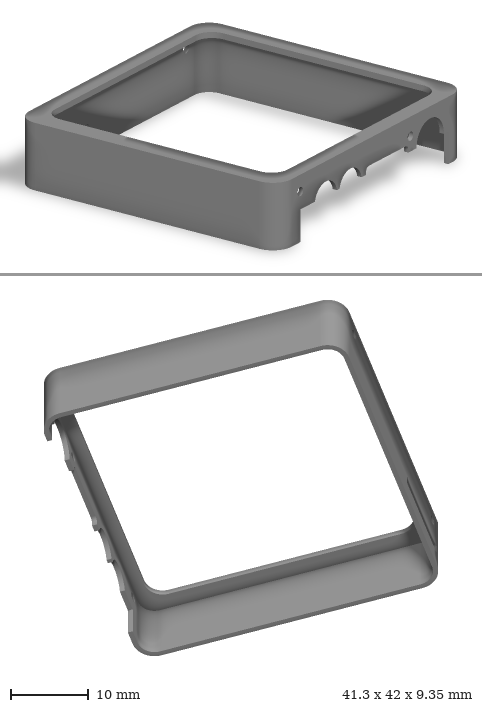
import cadquery as cq

LENGTH_X = 41.3
LENGTH_Y = 42.0
HEIGHT = 9.35
OUTER_RADIUS = 2.95
WALL = 0.67

LIP_THICKNESS = 0.85
OPENING_SIZE = 36.6
OPENING_RADIUS = 2.5
OPENING_OFFSET_Y = 0.15

PIN_DIAMETER = 1.25
PIN_SPACING = 32.17
PIN_Z = 7.0
PORT_PIN_Y = 8.55
PORT_PIN_Z = 6.65

SLOT_LENGTH = 12.2
SLOT_HEIGHT = 1.4
SLOT_CENTER_Y = -11.75
SLOT_CENTER_Z = 3.05
SLOT_CORNER_RADIUS = 0.35

NOTCH_MIN_Y = -16.1
NOTCH_MAX_Y = 17.1
NOTCH_HEIGHT = 4.55
LARGE_PORT_RADIUS = 3.05
LARGE_PORT_Y = 13.0
LARGE_PORT_Z = 4.6
SMALL_PORT_RADIUS = 2.5
SMALL_PORT_Z = 4.05
SMALL_PORT_YS = (-4.85, -10.35)
WIDE_PORT_MIN_Y = -1.35
WIDE_PORT_MAX_Y = 8.1
WIDE_PORT_TOP = 5.6
WIDE_PORT_RADIUS = 0.65

CUT_DEPTH = 4 * WALL
WALL_CENTER_X = (LENGTH_X - WALL) / 2


def rounded_block(size_x, size_y, height, radius):
    """Block standing on Z = 0 with rounded vertical edges."""
    block = cq.Workplane("XY").box(size_x, size_y, height, centered=(True, True, False))
    return block.edges("|Z").fillet(radius)


def side_box(side, min_y, max_y, min_z, max_z):
    """Box cutter through the X wall on the given side (-1 or 1)."""
    box = cq.Workplane("XY").box(CUT_DEPTH, max_y - min_y, max_z - min_z)
    return box.translate((side * WALL_CENTER_X, (min_y + max_y) / 2, (min_z + max_z) / 2))


def side_cylinder(side, y, z, radius):
    """Round cutter along X through the wall on the given side (-1 or 1)."""
    cylinder = cq.Workplane("YZ").circle(radius).extrude(CUT_DEPTH / 2, both=True)
    return cylinder.translate((side * WALL_CENTER_X, y, z))


def make_frame():
    """Thin-walled square ring with an open bottom and a lip at the top."""
    body = rounded_block(LENGTH_X, LENGTH_Y, HEIGHT, OUTER_RADIUS)
    cavity = rounded_block(
        LENGTH_X - 2 * WALL, LENGTH_Y - 2 * WALL, HEIGHT - LIP_THICKNESS, OUTER_RADIUS - WALL
    )
    opening = rounded_block(OPENING_SIZE, OPENING_SIZE, HEIGHT, OPENING_RADIUS)
    return body.cut(cavity).cut(opening.translate((0, OPENING_OFFSET_Y, 0)))


def cut_card_side(frame):
    """Two round holes and the card slot in the -X wall."""
    for y in (-PIN_SPACING / 2, PIN_SPACING / 2):
        frame = frame.cut(side_cylinder(-1, y, PIN_Z, PIN_DIAMETER / 2))
    slot = side_box(
        -1,
        SLOT_CENTER_Y - SLOT_LENGTH / 2,
        SLOT_CENTER_Y + SLOT_LENGTH / 2,
        SLOT_CENTER_Z - SLOT_HEIGHT / 2,
        SLOT_CENTER_Z + SLOT_HEIGHT / 2,
    )
    return frame.cut(slot.edges("|X").fillet(SLOT_CORNER_RADIUS))


def cut_port_side(frame):
    """Open-bottom notch, connector ports and round holes in the +X wall."""
    frame = frame.cut(side_box(1, NOTCH_MIN_Y, NOTCH_MAX_Y, 0, NOTCH_HEIGHT))
    frame = frame.cut(side_cylinder(1, LARGE_PORT_Y, LARGE_PORT_Z, LARGE_PORT_RADIUS))
    for y in SMALL_PORT_YS:
        frame = frame.cut(side_cylinder(1, y, SMALL_PORT_Z, SMALL_PORT_RADIUS))
    wide_port = side_box(1, WIDE_PORT_MIN_Y, WIDE_PORT_MAX_Y, 0, WIDE_PORT_TOP)
    frame = frame.cut(wide_port.edges("|X and >Z").fillet(WIDE_PORT_RADIUS))
    for y, z in ((-PIN_SPACING / 2, PIN_Z), (PORT_PIN_Y, PORT_PIN_Z)):
        frame = frame.cut(side_cylinder(1, y, z, PIN_DIAMETER / 2))
    return frame


result = cut_port_side(cut_card_side(make_frame()))